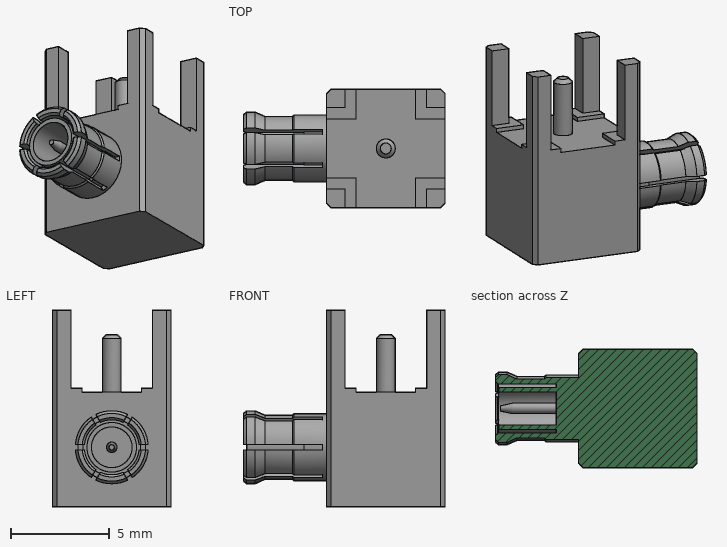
import cadquery as cq


total_length = 10.2
block_width = 6.0
block_corner = 0.22
block_front = total_length - block_width
block_center_x = total_length - block_width / 2
total_height = 9.95
pad_top = block_width
pad_thickness = 0.2
pad_width = 1.5
leg_width = 0.94
block_top = pad_top - pad_thickness

solder_pin_radius = 0.48
solder_pin_top = 8.71
solder_pin_chamfer = 0.2

axis_height = 3.01
rim_radius = 1.85
mouth_chamfer_length = 0.16
mouth_chamfer_depth = 0.13
rim_end = 0.59
taper_end = 1.1
neck_radius = 1.62
root_radius = 1.7
root_start = 2.56
collet_bore_radius = 1.39
bore_chamfer = 0.11

slot_count = 6
slot_width = 0.27
slot_end = 4.01
slot_floor_radius = 1.45

gap_end = 3.07
sleeve_start = 0.16
sleeve_radius = 1.25
sleeve_bore_radius = 1.03
contact_start = 0.25
contact_radius = 0.27
contact_tip_radius = 0.13
contact_taper_length = 0.61


def turned(profile):
    """Revolve a closed (axial, radius) profile about the barrel axis."""
    solid = cq.Workplane("XY").polyline(profile).close().revolve(360, (0, 0, 0), (1, 0, 0))
    return solid.translate((0, 0, axis_height))


def ring(start, end, outer_radius, inner_radius):
    """Tube about the barrel axis between two axial positions."""
    return turned([(start, inner_radius), (start, outer_radius), (end, outer_radius), (end, inner_radius)])


def square_column(width, top):
    """Square column resting on Z = 0, centred on the block."""
    return cq.Workplane("XY").center(block_center_x, 0).rect(width, width).extrude(top)


def corner_columns(width, top):
    """Square columns that fill the four corners of the block."""
    spacing = block_width - width
    corners = cq.Workplane("XY").center(block_center_x, 0).rect(spacing, spacing, forConstruction=True)
    return corners.vertices().rect(width, width).extrude(top)


def make_block():
    envelope = square_column(block_width, total_height).edges("|Z").chamfer(block_corner)
    stepped = square_column(block_width, block_top)
    stepped = stepped.union(corner_columns(pad_width, pad_top))
    stepped = stepped.union(corner_columns(leg_width, total_height))
    return envelope.intersect(stepped)


def make_solder_pin():
    pin = cq.Workplane("XY", origin=(block_center_x, 0, axis_height)).circle(solder_pin_radius)
    return pin.extrude(solder_pin_top - axis_height).faces(">Z").chamfer(solder_pin_chamfer)


def make_slots():
    """Radial slots: open to the gap at the front, with a round floor behind it."""
    cutter_radius = rim_radius + slot_width
    reach = ring(0, slot_end, cutter_radius, slot_floor_radius)
    reach = reach.union(ring(0, gap_end, slot_floor_radius, sleeve_radius))
    slots = cq.Workplane("XY")
    for index in range(slot_count):
        blade = cq.Workplane("XY").box(slot_end, cutter_radius, slot_width, centered=(False, False, True))
        blade = blade.rotate((0, 0, 0), (1, 0, 0), index * 360 / slot_count)
        slots = slots.union(blade.translate((0, 0, axis_height)).intersect(reach))
    return slots


def make_barrel():
    root_step = root_radius - neck_radius
    barrel = turned([
        (0, 0),
        (0, rim_radius - mouth_chamfer_depth),
        (mouth_chamfer_length, rim_radius),
        (rim_end, rim_radius),
        (taper_end, neck_radius),
        (root_start - root_step, neck_radius),
        (root_start, root_radius),
        (block_front, root_radius),
        (block_front, 0),
    ])
    cavity = turned([
        (0, 0),
        (0, collet_bore_radius + bore_chamfer),
        (bore_chamfer, collet_bore_radius),
        (gap_end, collet_bore_radius),
        (gap_end, 0),
    ])
    sleeve = ring(sleeve_start, gap_end, sleeve_radius, sleeve_bore_radius)
    contact = turned([
        (contact_start, 0),
        (contact_start, contact_tip_radius),
        (contact_start + contact_taper_length, contact_radius),
        (gap_end, contact_radius),
        (gap_end, 0),
    ])
    return barrel.cut(cavity).cut(make_slots()).union(sleeve).union(contact)


result = make_block().union(make_solder_pin()).union(make_barrel())